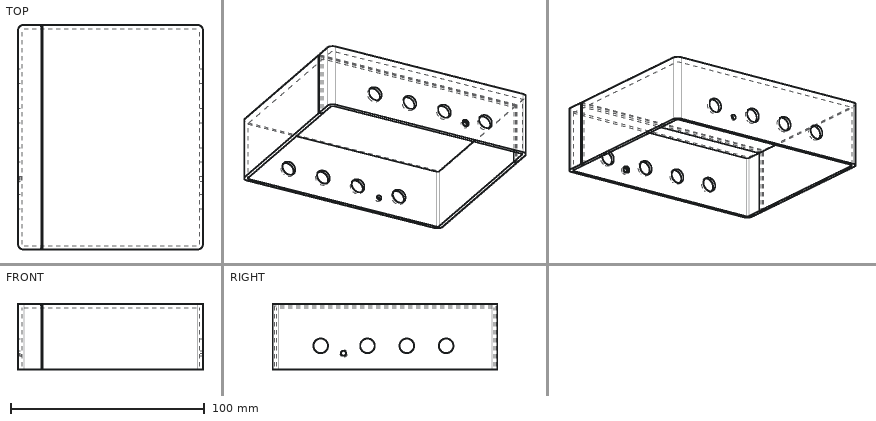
import cadquery as cq

LENGTH_X = 95.6
WIDTH_Y = 116.0
HEIGHT_Z = 34.0
CORNER_RADIUS = 3.0
WALL = 2.0

CAP_LENGTH = 12.0
RIM_CHAMFER = 0.9

JACK_DIAMETER = 7.4
JACK_HEIGHT = 12.3
JACK_PITCH = 20.3
FIRST_JACK_Y = 31.5
LONE_JACK_Y = -33.2
JACK_POSITIONS = [FIRST_JACK_Y - i * JACK_PITCH for i in range(3)] + [LONE_JACK_Y]

PILOT_DIAMETER = 2.5
COUNTERSINK_DIAMETER = 3.7
PILOT_Y = -21.5
PILOT_HEIGHT = 8.5


def box_shell():
    """Whole box with rounded upright corners, hollow and open underneath."""
    outside = (
        cq.Workplane("XY")
        .rect(LENGTH_X, WIDTH_Y)
        .extrude(HEIGHT_Z)
        .edges("|Z")
        .fillet(CORNER_RADIUS)
    )
    cavity = (
        cq.Workplane("XY")
        .rect(LENGTH_X - 2 * WALL, WIDTH_Y - 2 * WALL)
        .extrude(HEIGHT_Z - WALL)
        .edges("|Z")
        .fillet(CORNER_RADIUS - WALL)
    )
    return outside.cut(cavity).translate((LENGTH_X / 2, 0, 0))


def drill_holes(shell):
    """Run the jack holes and the pilot hole through both end walls."""
    front_face = cq.Workplane("YZ")
    jack_points = [(y, JACK_HEIGHT) for y in JACK_POSITIONS]
    jacks = front_face.pushPoints(jack_points).circle(JACK_DIAMETER / 2).extrude(LENGTH_X)
    pilot = front_face.center(PILOT_Y, PILOT_HEIGHT).circle(PILOT_DIAMETER / 2).extrude(LENGTH_X)
    return shell.cut(jacks).cut(pilot)


def stretch(x_start, x_end):
    """Plain block as wide and high as the box, from x_start to x_end."""
    block = cq.Workplane("XY").box(x_end - x_start, WIDTH_Y, HEIGHT_Z, centered=(False, True, False))
    return block.translate((x_start, 0, 0))


def countersink(x, direction):
    """Right-angled cone on the pilot axis, its wide end at x and its tip towards direction."""
    radius = COUNTERSINK_DIAMETER / 2
    depth_to_tip = radius
    wide_end = cq.Vector(x, PILOT_Y, PILOT_HEIGHT)
    return cq.Workplane(cq.Solid.makeCone(radius, 0, depth_to_tip, wide_end, cq.Vector(direction, 0, 0)))


def make_cap(box):
    """Front cap, with the pilot hole countersunk on both faces of its wall."""
    body = box.intersect(stretch(0, CAP_LENGTH))
    for x, direction in ((0, 1), (WALL, -1)):
        body = body.cut(countersink(x, direction))
    return body


def make_housing(box):
    """Rear housing, its front rim chamfered on the top and both sides."""
    body = box.intersect(stretch(CAP_LENGTH, LENGTH_X))
    outer_rim = body.faces("<X").edges(">Z or <Y or >Y")
    return outer_rim.chamfer(RIM_CHAMFER)


drilled_box = drill_holes(box_shell())
cap = make_cap(drilled_box)
housing = make_housing(drilled_box)

result = cq.Compound.makeCompound([cap.solids().val(), housing.solids().val()])